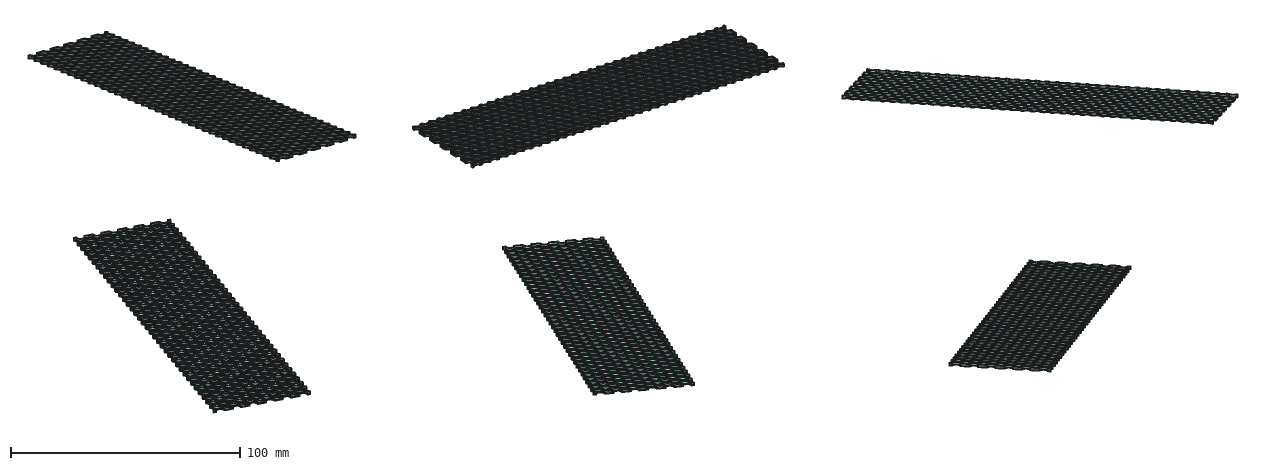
import cadquery as cq
import math

length = 166.6
thickness = 1.2
pitches_along_length = 37
end_margin = 0.055
pitch = (length - 2 * end_margin) / pitches_along_length
row_spacing = pitch * math.sqrt(3) / 2
web = 0.7
hole_diameter = pitch - web

rows_each_side = 5
side_web = 1.22
width = 2 * (rows_each_side * row_spacing + hole_diameter / 2 + side_web)


def row_of_holes(row):
    """Hole centres of one row; row 0 lies on the X axis."""
    hole_count = pitches_along_length + row % 2
    first_x = -(hole_count - 1) * pitch / 2
    return [(first_x + i * pitch, row * row_spacing) for i in range(hole_count)]


outer_row = rows_each_side + 1
hole_centres = []
for row in range(-outer_row, outer_row + 1):
    hole_centres += row_of_holes(row)

sheet = cq.Workplane("XY").box(length, width, thickness)
holes = (
    cq.Workplane("XY")
    .workplane(offset=-thickness)
    .pushPoints(hole_centres)
    .circle(hole_diameter / 2)
    .extrude(2 * thickness)
)
result = sheet.cut(holes)